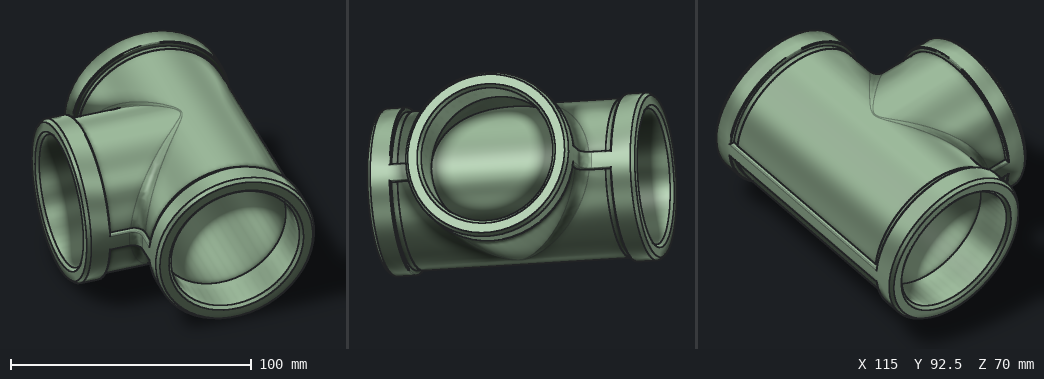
import cadquery as cq

run_length = 115.0
branch_reach = 57.5
run_diameter = 66.5
neck_diameter = 66.0
neck_length = 2.5
branch_diameter = neck_diameter
joint_blend_radius = 4.8

collar_diameter = 70.0
collar_length = 10.2
collar_chamfer_length = 1.6
collar_chamfer_depth = 1.3
rib_width = 7.4
rib_blend_radius = 4.3
edge_round = 0.5

socket_diameter = 56.7
socket_depth = 17.9
mouth_chamfer = 1.4
bore_diameter = 60.6
partition_diameter = neck_diameter

half_run = run_length / 2
collar_radius = collar_diameter / 2
socket_radius = socket_diameter / 2
bore_radius = bore_diameter / 2
margin = 1.2

left_mouth = cq.Plane(origin=(-half_run, 0, 0), xDir=(0, 0, 1), normal=(-1, 0, 0))
right_mouth = cq.Plane(origin=(half_run, 0, 0), xDir=(0, 0, 1), normal=(1, 0, 0))
branch_mouth = cq.Plane(origin=(0, -branch_reach, 0), xDir=(0, 0, 1), normal=(0, -1, 0))
mouths = [left_mouth, right_mouth, branch_mouth]


def bar(mouth, diameter, length):
    """Round bar running inward from a mouth."""
    return cq.Workplane(mouth).circle(diameter / 2).extrude(-length)


def turned(mouth, profile):
    """Turn a (radius, distance out of the mouth) profile about the axis of a mouth."""
    side = cq.Plane(origin=mouth.origin, xDir=mouth.xDir, normal=mouth.yDir.multiply(-1))
    return cq.Workplane(side).polyline(profile).close().revolve(360, (0, 0), (0, 1))


def body():
    """Run with a shallow neck at each end, joined to the branch with a blend."""
    run = bar(left_mouth, run_diameter, run_length)
    branch = bar(branch_mouth, branch_diameter, branch_reach)
    around_joint = cq.selectors.BoxSelector(
        (-collar_radius, -collar_radius, -collar_radius),
        (collar_radius, 0, collar_radius),
        boundingbox=True,
    )
    tee = run.union(branch).edges(around_joint).fillet(joint_blend_radius)
    neck_end = collar_length + neck_length
    for mouth in (left_mouth, right_mouth):
        neck_relief = bar(mouth, run_diameter, neck_end).cut(bar(mouth, neck_diameter, neck_end))
        tee = tee.cut(neck_relief)
    return tee


def collar(mouth):
    """Raised band around a mouth, chamfered at the outer rim."""
    return turned(mouth, [
        (0, 0),
        (collar_radius - collar_chamfer_depth, 0),
        (collar_radius, -collar_chamfer_length),
        (collar_radius, -collar_length),
        (0, -collar_length),
    ])


def ribs():
    """Mid-plane slice of a tee as thick as the collars, with blended inner corners."""
    run = bar(left_mouth, collar_diameter, run_length - collar_length)
    run = run.cut(bar(left_mouth, collar_diameter, collar_length))
    branch = bar(branch_mouth, collar_diameter, branch_reach)
    branch = branch.cut(bar(branch_mouth, collar_diameter, collar_length))
    slab = cq.Workplane("XY").box(run_length, 2 * branch_reach, rib_width)
    web = run.union(branch).intersect(slab)
    for side in (-1, 1):
        inner_corner = cq.selectors.BoxSelector(
            (side * collar_radius - margin, -collar_radius - margin, -rib_width),
            (side * collar_radius + margin, -collar_radius + margin, rib_width),
            boundingbox=True,
        )
        web = web.edges(inner_corner).fillet(rib_blend_radius)
    return web


def frame():
    """Collars and ribs as one flush skin, with its inner edges rounded."""
    skin = ribs()
    for mouth in mouths:
        skin = skin.union(collar(mouth))
    reach_x = half_run - collar_length + margin
    reach_y = branch_reach - collar_length + margin
    above = cq.selectors.BoxSelector(
        (-reach_x, -reach_y, margin), (reach_x, reach_y, collar_radius))
    below = cq.selectors.BoxSelector(
        (-reach_x, -reach_y, -collar_radius), (reach_x, reach_y, -margin))
    return skin.faces("not %PLANE").edges(above + below).fillet(edge_round)


def passage(mouth, length):
    """Chamfered socket opening into a wider bore."""
    return turned(mouth, [
        (0, 0),
        (socket_radius + mouth_chamfer, 0),
        (socket_radius, -mouth_chamfer),
        (socket_radius, -socket_depth),
        (bore_radius, -socket_depth),
        (bore_radius, -length),
        (0, -length),
    ])


partition = bar(left_mouth, partition_diameter, run_length)
branch_passage = passage(branch_mouth, branch_reach).cut(partition)

result = body().union(frame())
result = result.cut(branch_passage)
for run_mouth in (left_mouth, right_mouth):
    result = result.cut(passage(run_mouth, half_run))